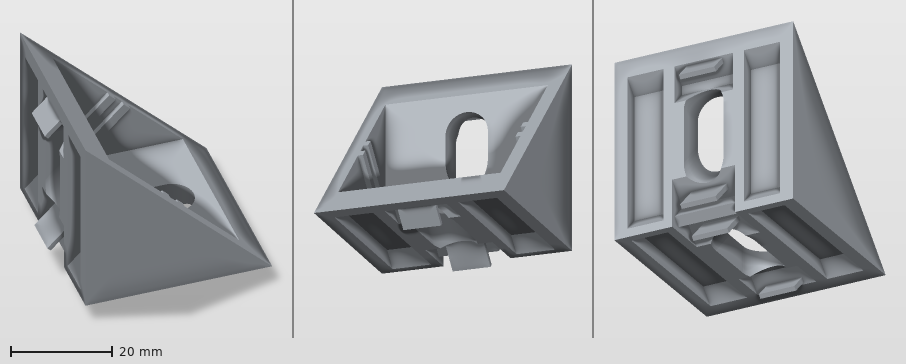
import cadquery as cq
import math

width = 40.0
overall_length = 42.0
upper_tab_reach = 3.03
leg = overall_length - upper_tab_reach

side_recess_outer_x = 17.1
cavity_width = 2 * side_recess_outer_x
wall = 5.92
corner_chamfer = 1.0

rib_height = 1.05
rib_half_spread = 4.35
rib_half_gap = 1.7

recess_depth = 3.03
recess_far = 35.13
side_recess_near = 1.85
side_recess_inner_x = 9.0
clip_recess_near = 27.05
clip_recess_width = 13.03

notch_width = 14.08
notch_reach = 10.35
web_half_spread = 1.65
web_end = 3.82

tab_width = 7.95
tab_spread = 1.43
upper_tab_offset = 34.4
upper_tab_end = upper_tab_offset - 2 * upper_tab_reach
lower_tab_offset = 5.65
lower_tab_end = 0.67
tab_root_overlap = 0.4

hole_radius = 4.45
hole_top = 29.45
hole_bottom_offset = 7.2
hole_inner_y = wall + 1.7
hole_outer_y = -2.52


def prism(points, x_start, x_end):
    """Extrude a (y, z) outline between two X positions."""
    outline = cq.Workplane("YZ", origin=(x_start, 0, 0)).polyline(points).close()
    return outline.extrude(x_end - x_start)


def centred_prism(points, prism_width):
    return prism(points, -prism_width / 2, prism_width / 2)


def swapped(points):
    """Reflect an outline in the plane y = z."""
    return [(z, y) for y, z in points]


def diagonal_band(low_offset, high_offset, low_sum, high_sum):
    """Rectangle bounded by values of z - y and of y + z."""
    corners = [
        (low_offset, low_sum),
        (high_offset, low_sum),
        (high_offset, high_sum),
        (low_offset, high_sum),
    ]
    return [((total - offset) / 2, (total + offset) / 2) for offset, total in corners]


def recess_outline(near, far):
    """Trapezoid in the leg face at y = 0, with both ends sloping at 45 degrees."""
    return [
        (0, near),
        (recess_depth, near + recess_depth),
        (recess_depth, far - recess_depth),
        (0, far),
    ]


def cavity():
    opening = leg - wall
    outline = [
        (wall + corner_chamfer, wall),
        (opening, wall),
        (wall, opening),
        (wall, wall + corner_chamfer),
    ]
    space = centred_prism(outline, cavity_width)
    inner_half = cavity_width / 2 - rib_height
    for low, high in ((-rib_half_spread, -rib_half_gap), (rib_half_gap, rib_half_spread)):
        band = diagonal_band(low, high, 0, leg)
        space = space.cut(prism(band, -cavity_width / 2, -inner_half))
        space = space.cut(prism(band, inner_half, cavity_width / 2))
    return space


def corner_notch():
    notch = centred_prism([(0, 0), (notch_reach, 0), (0, notch_reach)], notch_width)
    web = diagonal_band(-web_half_spread, web_half_spread, web_end, notch_reach)
    return notch.cut(centred_prism(web, notch_width))


def screw_hole():
    top_axis_z = hole_top - hole_radius
    axis_offset = hole_bottom_offset + hole_radius * math.sqrt(2)
    length = hole_inner_y - hole_outer_y
    level_end = cq.Solid.makeCylinder(
        hole_radius, length, cq.Vector(0, hole_outer_y, top_axis_z), cq.Vector(0, 1, 0)
    )
    inclined_end = cq.Solid.makeCylinder(
        hole_radius,
        length * math.sqrt(2),
        cq.Vector(0, hole_outer_y, hole_outer_y + axis_offset),
        cq.Vector(0, 1, 1),
    )
    between_axes = [
        (hole_outer_y, hole_outer_y + axis_offset),
        (hole_inner_y, hole_inner_y + axis_offset),
        (hole_inner_y, top_axis_z),
        (hole_outer_y, top_axis_z),
    ]
    return centred_prism(between_axes, 2 * hole_radius).union(level_end).union(inclined_end)


body = centred_prism([(0, 0), (leg, 0), (0, leg)], width)
body = body.cut(cavity()).cut(corner_notch())

side_recess = recess_outline(side_recess_near, recess_far)
clip_recess = recess_outline(clip_recess_near, recess_far)
for side, clip in ((side_recess, clip_recess), (swapped(side_recess), swapped(clip_recess))):
    body = body.cut(prism(side, -side_recess_outer_x, -side_recess_inner_x))
    body = body.cut(prism(side, side_recess_inner_x, side_recess_outer_x))
    body = body.cut(centred_prism(clip, clip_recess_width))

hole = screw_hole()
second_hole = hole.rotate((0, 0, 0), (0, 1, 1), 180)
body = body.cut(hole).cut(second_hole)

for offset, end, root in (
    (upper_tab_offset, upper_tab_end, recess_far),
    (lower_tab_offset, lower_tab_end, notch_reach),
):
    tab = diagonal_band(offset - tab_spread, offset, end, root + tab_root_overlap)
    body = body.union(centred_prism(tab, tab_width))
    body = body.union(centred_prism(swapped(tab), tab_width))

result = body